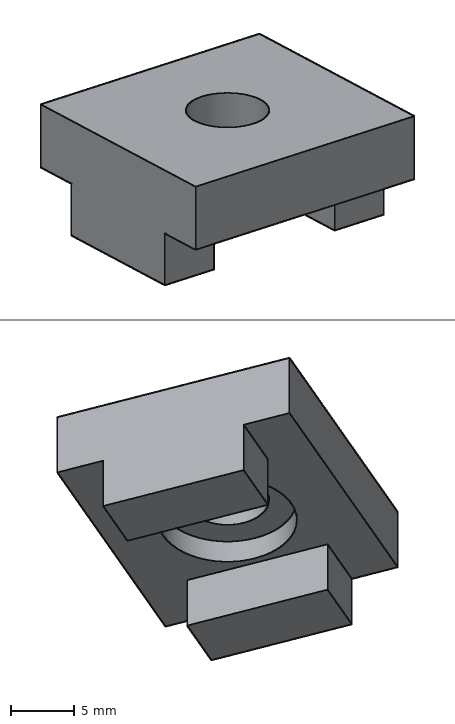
import cadquery as cq

plate_width = 20.0
plate_length = 22.0
total_height = 10.0
plate_thickness = 5.5

foot_width = 12.1
foot_gap = 12.1
foot_length = (plate_length - foot_gap) / 2
foot_height = total_height - plate_thickness

hole_diameter = 6.6
counterbore_diameter = 11.0
counterbore_depth = 2.0


def make_plate():
    return (
        cq.Workplane("XY")
        .workplane(offset=foot_height)
        .rect(plate_width, plate_length)
        .extrude(plate_thickness)
    )


def make_feet():
    foot_offset = (foot_gap + foot_length) / 2
    return (
        cq.Workplane("XY")
        .pushPoints([(0, -foot_offset), (0, foot_offset)])
        .rect(foot_width, foot_length)
        .extrude(foot_height)
    )


def make_hole():
    through_hole = cq.Workplane("XY").circle(hole_diameter / 2).extrude(total_height)
    counterbore = (
        cq.Workplane("XY")
        .workplane(offset=foot_height)
        .circle(counterbore_diameter / 2)
        .extrude(counterbore_depth)
    )
    return through_hole.union(counterbore)


result = make_plate().union(make_feet()).cut(make_hole())